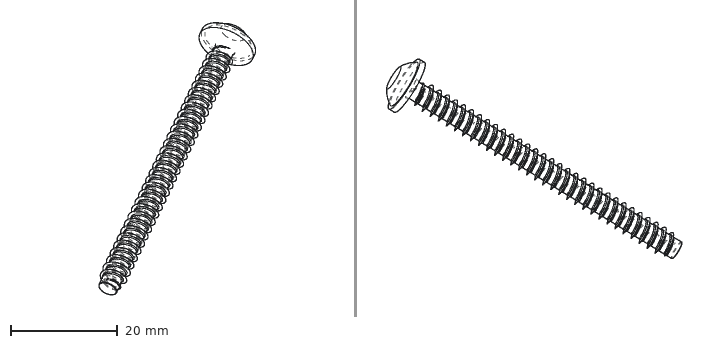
import cadquery as cq
import math


total_length = 63.5
shank_length = 60.0
bearing_y = shank_length - total_length / 2
head_height = total_length - shank_length
tip_y = bearing_y - shank_length

flange_diameter = 11.0
flange_thickness = 1.2
dome_base_diameter = 9.6
dome_top_diameter = 4.9
dome_bulge = 0.25

core_diameter = 3.65
neck_diameter = 4.0
neck_fillet = 0.5
neck_cone_length = 0.6
tip_chamfer = 0.1

thread_diameter = 5.2
thread_pitch = 1.8
first_crest_depth = 1.43
thread_start = -0.15
thread_end = 32.15
runout_turns = 1.15
knee_width = 0.38
knee_height = 0.16
root_width = 1.0
root_sink = 0.04
points_per_turn = 20

core_radius = core_diameter / 2
thread_radius = thread_diameter / 2
knee_radius = core_radius + knee_height
root_radius = core_radius - root_sink
buried_radius = core_radius - root_sink / 2


def make_body():
    """Revolve the head, neck and shank core as one profile about Y."""
    neck_radius = neck_diameter / 2
    flange_radius = flange_diameter / 2
    flange_top_y = bearing_y + flange_thickness
    head_top_y = bearing_y + head_height
    dome_base_radius = dome_base_diameter / 2
    dome_top_radius = dome_top_diameter / 2

    dome_run = dome_base_radius - dome_top_radius
    dome_rise = head_top_y - flange_top_y
    dome_chord = math.hypot(dome_run, dome_rise)
    dome_middle = (
        (dome_base_radius + dome_top_radius) / 2 + dome_bulge * dome_rise / dome_chord,
        (flange_top_y + head_top_y) / 2 + dome_bulge * dome_run / dome_chord,
    )

    fillet_inset = neck_fillet * (1 - math.sqrt(0.5))
    fillet_middle = (neck_radius + fillet_inset, bearing_y - fillet_inset)

    fillet_end_y = bearing_y - neck_fillet
    profile = (
        cq.Workplane("XY")
        .moveTo(0, tip_y)
        .lineTo(core_radius - tip_chamfer, tip_y)
        .lineTo(core_radius, tip_y + tip_chamfer)
        .lineTo(core_radius, fillet_end_y - neck_cone_length)
        .lineTo(neck_radius, fillet_end_y)
        .threePointArc(fillet_middle, (neck_radius + neck_fillet, bearing_y))
        .lineTo(flange_radius, bearing_y)
        .lineTo(flange_radius, flange_top_y)
        .lineTo(dome_base_radius, flange_top_y)
        .threePointArc(dome_middle, (dome_top_radius, head_top_y))
        .lineTo(0, head_top_y)
        .close()
    )
    return profile.revolve(360, (0, 0, 0), (0, 1, 0))


def faded_radius(full_radius, turn):
    """Radius that rises out of the core and sinks back into it over the runouts."""
    turns_to_end = min(turn - thread_start, thread_end - turn)
    rise = max(0, min(1, turns_to_end / runout_turns))
    return buried_radius + rise * (full_radius - buried_radius)


def crest_radius_at(turn):
    return faded_radius(thread_radius, turn)


def knee_radius_at(turn):
    return faded_radius(knee_radius, turn)


def root_radius_at(turn):
    return root_radius


def helix_edge(first_turn, last_turn, radius_at, offset):
    """Right-handed helix advancing toward -Y; whole turns lie on the +Z side."""
    steps = round((last_turn - first_turn) * points_per_turn)
    points = []
    for step in range(steps + 1):
        turn = first_turn + step / points_per_turn
        angle = 2 * math.pi * turn
        radius = radius_at(turn)
        y = bearing_y - first_crest_depth - turn * thread_pitch + offset
        points.append(cq.Vector(-radius * math.sin(angle), y, radius * math.cos(angle)))
    return cq.Edge.makeSpline(points)


def make_thread_section(first_turn, last_turn):
    """Solid ridge bounded by helical faces and two flat ends."""
    corners = [
        (root_radius_at, -root_width / 2),
        (knee_radius_at, -knee_width / 2),
        (crest_radius_at, 0),
        (knee_radius_at, knee_width / 2),
        (root_radius_at, root_width / 2),
    ]
    edges = [helix_edge(first_turn, last_turn, radius_at, offset) for radius_at, offset in corners]
    faces = []
    for index, edge in enumerate(edges):
        faces.append(cq.Face.makeRuledSurface(edges[index - 1], edge))
    for end in (0, 1):
        outline = cq.Wire.makePolygon([edge.positionAt(end) for edge in edges], close=True)
        faces.append(cq.Face.makeFromWires(outline))
    return cq.Solid.makeSolid(cq.Shell.makeShell(faces))


full_start = thread_start + runout_turns
full_end = thread_end - runout_turns
thread_stretches = (
    (thread_start, full_start),
    (full_start, full_end),
    (full_end, thread_end),
)

result = make_body()
for first_turn, last_turn in thread_stretches:
    result = result.union(make_thread_section(first_turn, last_turn))